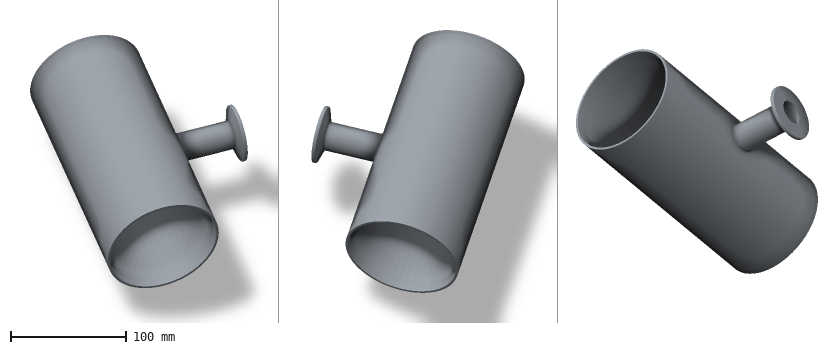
import cadquery as cq
import math

tube_length = 209.5
tube_od = 101.6
tube_bore = 97.5

branch_od = 25.4
branch_bore = 22.0
overall_depth = 155.5
face_y = overall_depth - tube_od / 2
branch_middle_y = (tube_od / 2 + face_y) / 2
weld_radius = 1.5

flange_od = 50.5
rim_thickness = 3.4
rim_edge_radius = 0.8
cone_angle = 20.0
neck_fillet = 0.8


def main_tube():
    return cq.Workplane("YZ").circle(tube_od / 2).extrude(tube_length / 2, both=True)


def branch_tube():
    """Solid branch from the main tube's axis to the clamping face."""
    return cq.Workplane("XZ").circle(branch_od / 2).extrude(-face_y)


def ferrule_flange():
    """Flange with a rounded rim and a conical back, revolved about Y."""
    rim_x = flange_od / 2
    corner_x = rim_x - rim_edge_radius
    front_y = face_y - rim_edge_radius
    back_y = face_y - rim_thickness + rim_edge_radius

    slope = math.radians(cone_angle)
    cone_x = corner_x + rim_edge_radius * math.sin(slope)
    cone_y = back_y - rim_edge_radius * math.cos(slope)
    neck_x = branch_od / 2
    neck_y = cone_y - (cone_x - neck_x) * math.tan(slope)

    return (
        cq.Workplane("XY")
        .moveTo(0, face_y)
        .lineTo(corner_x, face_y)
        .tangentArcPoint((rim_x, front_y), relative=False)
        .lineTo(rim_x, back_y)
        .tangentArcPoint((cone_x, cone_y), relative=False)
        .lineTo(neck_x, neck_y)
        .lineTo(0, neck_y)
        .close()
        .revolve(360, (0, 0, 0), (0, 1, 0))
    )


def round_joint(body, y_min, y_max, radius):
    """Fillet the edges around the branch that lie between two Y positions."""
    reach = branch_od / 2 + radius
    joint = cq.selectors.BoxSelector(
        (-reach, y_min, -reach), (reach, y_max, reach), boundingbox=True
    )
    return body.edges(joint).fillet(radius)


tee = main_tube().union(branch_tube())
tee = round_joint(tee, 0, branch_middle_y, weld_radius)
tee = tee.union(ferrule_flange())
tee = round_joint(tee, branch_middle_y, face_y - rim_thickness, neck_fillet)

main_bore = cq.Workplane("YZ").circle(tube_bore / 2).extrude(tube_length / 2, both=True)
branch_bore_cut = cq.Workplane("XZ").circle(branch_bore / 2).extrude(-face_y)
result = tee.cut(main_bore).cut(branch_bore_cut)